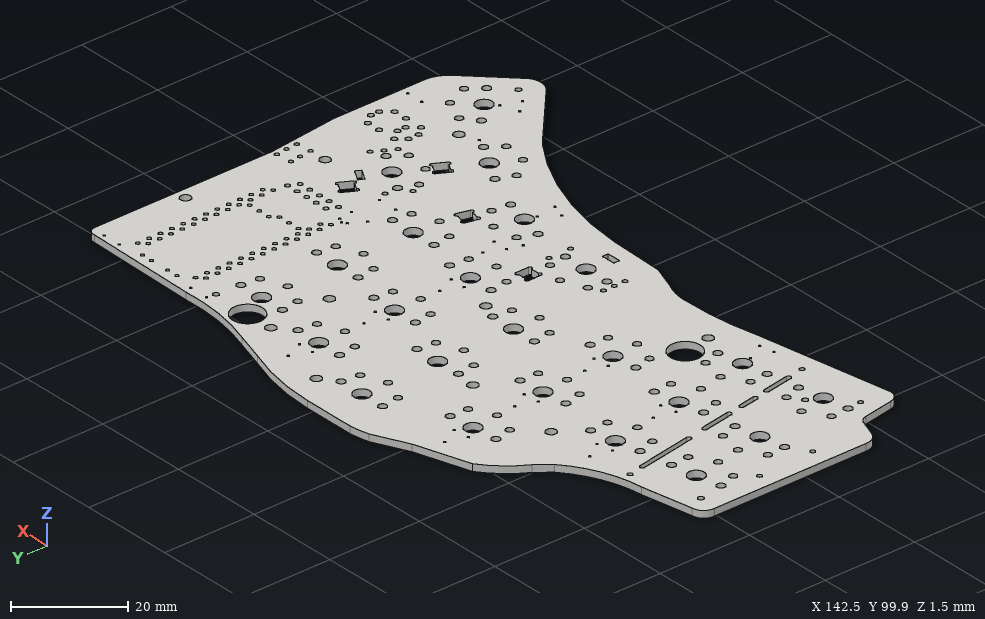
import cadquery as cq
import math

THICKNESS = 1.5
LENGTH = 142.5
WIDTH = 99.9

SWITCH_HOLE = 3.4
PEG_HOLE = 1.7
CONTACT_HOLE = 1.5
SCREW_HOLE = 2.1
LARGE_HOLE = 6.5
JACK_HOLE = 1.2
HEADER_HOLE = 0.81
PIN_HOLE = 1.0
BUTTON_HOLE = 0.9
STAKE_HOLE = 0.7
VIA_HOLE = 0.4

PEG_SPAN = 11.0
CONTACT_SPAN = 10.0
CONTACT_DROP = 3.8
CENTRE_CONTACT_DROP = 5.8
SWITCH_VIAS = [(-1.7, 2.8), (1.7, 2.8), (0.0, 6.8)]

ROW_PITCH = 17.0
ROWS = 3
RING_TILT = 5
PINKY_TILT = 10
OUTER_COLUMN = (10.5, 65.5, PINKY_TILT)
PINKY_COLUMN = (28.4, 68.5, PINKY_TILT)
RING_COLUMN = (47.5, 84.2, RING_TILT)
MIDDLE_COLUMN = (68.4, 91.3, 0)
INDEX_COLUMN = (86.3, 85.8, 0)
INNER_COLUMN = (104.3, 83.4, 0)
HALF_TURN = 180
THUMB_ENCODER_KEY = (75.8, 34.9, 180)
SIDE_ENCODER_KEY = (122.3, 39.0, -30)
THUMB_KEYS = [(95.5, 32.0, 165), (113.8, 24.4, -30), (129.5, 12.3, 135)]

ENCODER_PINS = [(-7.4, 2.4), (-7.4, 0.0), (-7.4, -2.4), (7.0, 2.4), (7.0, -2.4)]
ENCODER_TAB_DROP = 5.5
ENCODER_TAB = (3.0, 1.3)

LED_WINDOWS = [(81.0, 43.5, 0), (102.5, 38.9, -15), (117.8, 31.6, -30), (123.4, 48.0, -30)]
LED_SIZE = (3.4, 2.8)
LED_RELIEF = 0.81

SLOT_WIDTH = 1.0
BREAK_SLOTS = [(19.8, 64.5, 13.4), (22.2, 51.0, 7.5), (23.7, 42.7, 4.5), (25.1, 35.0, 6.8)]
BREAK_ANGLE = 100

HEADER_PINS = 12
HEADER_LENGTH = 27.9
PIN_PITCH = HEADER_LENGTH / (HEADER_PINS - 1)
HEADER_SHIFT = PIN_PITCH / 2
HEADER_TOP = 87.6
HEADER_LEFT = 115.4
HEADER_RIGHT = 130.7
END_PINS = 3

DISPLAY_ROW = (120.1, 55.5)
SPARE_ROW = (119.1, 53.6)
ROW_PINS = 5

SCREW_POINTS = [
    (77.4, 93.9), (95.5, 88.8), (37.8, 75.0), (58.4, 75.0), (96.5, 74.8), (138.4, 71.5),
    (77.4, 56.0), (132.8, 45.0), (44.6, 34.0), (124.5, 22.1),
]
LARGE_POINTS = [(101.6, 88.8), (43.7, 39.9)]
BUTTON_POINTS = [(136.1, 49.9), (136.4, 47.6), (136.6, 45.0), (139.5, 50.2), (139.8, 47.7), (139.9, 45.3)]
JACK_POINTS = [
    (130.5, 31.5), (134.5, 31.5), (137.5, 31.5), (129.0, 29.6), (132.2, 29.4), (139.2, 29.4),
    (130.5, 25.5), (134.5, 25.5), (137.5, 25.5), (129.0, 27.4), (132.2, 27.5), (139.2, 27.5),
]
MEDIUM_POINTS = [(110.1, 88.6), (4.1, 70.0), (18.0, 34.9), (129.5, 4.5)]
SMALL_POINTS = [(18.1, 74.0), (3.4, 57.4), (3.8, 45.2), (26.2, 28.6), (11.3, 28.2)]
STAKE_POINTS = [(119.3, 89.6), (121.7, 89.6), (126.0, 89.6), (128.4, 89.6)]
VIA_POINTS = [
    (110.5, 90.5), (114.5, 90.5), (133.7, 90.3), (137.6, 90.3),
    (114.0, 56.0), (114.8, 56.5), (116.0, 56.0), (112.1, 53.0), (116.4, 53.0), (112.1, 46.7), (116.4, 46.7),
    (91.5, 44.7), (89.8, 40.9), (93.0, 40.9), (88.9, 37.9),
    (36.9, 29.0), (33.8, 28.5), (34.8, 32.9), (92.3, 26.4), (95.3, 25.4), (94.8, 29.8),
    (120.8, 20.7), (137.1, 19.8), (140.8, 19.8), (123.8, 9.1), (126.1, 6.5), (127.5, 10.4),
]


def turned(point, angle):
    """Rotate a point about the origin by an angle in degrees."""
    turn = math.radians(angle)
    x, y = point
    return (x * math.cos(turn) - y * math.sin(turn), x * math.sin(turn) + y * math.cos(turn))


def placed(points, place):
    """Move footprint points to a place given as centre x, centre y and angle."""
    x, y, angle = place
    moved = [turned(point, angle) for point in points]
    return [(x + dx, y + dy) for dx, dy in moved]


def outline():
    """Board edge, clockwise from the lower end of the straight left side."""
    return (
        cq.Workplane("XY")
        .moveTo(0, 36.5)
        .lineTo(0, 70.4)
        .threePointArc((0.7, 72.4), (2.5, 73.2))
        .lineTo(13.5, 75.2)
        .threePointArc((23.1, 77.8), (28.9, 81.6))
        .lineTo(31.3, 84.6)
        .threePointArc((34.2, 88.6), (38.2, 92.2))
        .lineTo(49.9, 95.8)
        .lineTo(57.3, 99.2)
        .threePointArc((59.3, 99.6), (61.4, WIDTH))
        .lineTo(72.7, WIDTH)
        .threePointArc((82.0, 98.9), (89.8, 96.6))
        .lineTo(96.2, 94.6)
        .threePointArc((104.7, 92.5), (114.0, 92.0))
        .lineTo(138.8, 91.5)
        .threePointArc((140.2, 91.0), (140.8, 89.8))
        .lineTo(140.8, 50.2)
        .lineTo(LENGTH, 34.9)
        .lineTo(LENGTH, 14.5)
        .threePointArc((142.0, 12.4), (140.8, 10.3))
        .lineTo(132.0, 1.4)
        .threePointArc((129.0, 0), (126.1, 1.3))
        .lineTo(113.1, 13.1)
        .threePointArc((99.0, 21.0), (79.8, 25.2))
        .lineTo(67.7, 25.6)
        .lineTo(62.1, 27.6)
        .threePointArc((59.1, 28.6), (56.3, 28.8))
        .threePointArc((48.0, 28.4), (39.9, 27.0))
        .lineTo(11.4, 22.1)
        .threePointArc((9.3, 22.4), (8.1, 24.2))
        .lineTo(7.0, 30.6)
        .threePointArc((6.4, 31.8), (5.3, 32.3))
        .lineTo(2.1, 33.5)
        .threePointArc((0.5, 34.6), (0, 36.5))
        .close()
    )


def drill(board, points, diameter):
    """Drill through holes of one diameter at the given points."""
    cutters = cq.Workplane("XY").pushPoints(points).circle(diameter / 2).extrude(THICKNESS)
    return board.cut(cutters)


def placed_switch(step, column, spin=0):
    """Return a one-item list with a switch stepped along its column and spun on the spot."""
    x, y = placed([step], column)[0]
    return [(x, y, column[2] + spin)]


def switch_places():
    """Return centre and angle of the switches without vias, then of those with vias."""
    plain = [THUMB_ENCODER_KEY, SIDE_ENCODER_KEY] + THUMB_KEYS
    wired = []
    for row in range(ROWS):
        step = (0, -row * ROW_PITCH)
        plain += placed_switch(step, MIDDLE_COLUMN) + placed_switch(step, INNER_COLUMN)
        wired += placed_switch(step, INDEX_COLUMN) + placed_switch(step, RING_COLUMN)
        if row < ROWS - 1:
            wired += placed_switch(step, PINKY_COLUMN)
        else:
            plain += placed_switch(step, PINKY_COLUMN, HALF_TURN)
        plain += placed_switch(step, OUTER_COLUMN, 0 if row == 0 else HALF_TURN)
    return plain, wired


def cut_switches(board):
    plain, wired = switch_places()
    pegs = [(-PEG_SPAN / 2, 0), (PEG_SPAN / 2, 0)]
    contacts = [(-CONTACT_SPAN / 2, -CONTACT_DROP), (CONTACT_SPAN / 2, -CONTACT_DROP)]
    contacts.append((0, -CENTRE_CONTACT_DROP))
    footprint = [([(0, 0)], SWITCH_HOLE), (pegs, PEG_HOLE), (contacts, CONTACT_HOLE)]
    for points, diameter in footprint:
        spots = [spot for place in plain + wired for spot in placed(points, place)]
        board = drill(board, spots, diameter)
    vias = [spot for place in wired for spot in placed(SWITCH_VIAS, place)]
    return drill(board, vias, VIA_HOLE)


def cut_encoders(board):
    for x, y, switch_angle in (THUMB_ENCODER_KEY, SIDE_ENCODER_KEY):
        place = (x, y, switch_angle + HALF_TURN)
        board = drill(board, placed(ENCODER_PINS, place), PIN_HOLE)
        tab_x, tab_y = placed([(0, -ENCODER_TAB_DROP)], place)[0]
        tab = cq.Workplane("XY").rect(*ENCODER_TAB).extrude(THICKNESS)
        board = board.cut(tab.rotate((0, 0, 0), (0, 0, 1), place[2]).translate((tab_x, tab_y, 0)))
    return board


def cut_led_windows(board):
    length, height = LED_SIZE
    relief_x = length / 2 - LED_RELIEF / 2
    window = cq.Workplane("XY").rect(length, height).extrude(THICKNESS)
    reliefs = (
        cq.Workplane("XY").rect(2 * relief_x, height, forConstruction=True).vertices()
        .circle(LED_RELIEF / 2).extrude(THICKNESS)
    )
    window = window.union(reliefs)
    for x, y, angle in LED_WINDOWS:
        board = board.cut(window.rotate((0, 0, 0), (0, 0, 1), angle).translate((x, y, 0)))
    return board


def cut_break_slots(board):
    for x, y, length in BREAK_SLOTS:
        slot = cq.Workplane("XY").center(x, y).slot2D(length, SLOT_WIDTH, BREAK_ANGLE).extrude(THICKNESS)
        board = board.cut(slot)
    return board


def header_points():
    """Two staggered columns on each side, with short rows between their lower ends."""
    points = []
    for left in (HEADER_LEFT, HEADER_RIGHT):
        for pin in range(HEADER_PINS):
            y = HEADER_TOP - pin * PIN_PITCH
            points += [(left + HEADER_SHIFT, y), (left, y - HEADER_SHIFT)]
    row_y = HEADER_TOP - (HEADER_PINS - END_PINS) * PIN_PITCH
    for pin in range(1, END_PINS + 1):
        points.append((HEADER_LEFT + pin * PIN_PITCH, row_y - HEADER_SHIFT))
        points.append((HEADER_RIGHT + HEADER_SHIFT - pin * PIN_PITCH, row_y))
    return points


def pin_row(start):
    x, y = start
    return [(x + pin * PIN_PITCH, y) for pin in range(ROW_PINS)]


result = outline().extrude(THICKNESS)
result = cut_switches(result)
result = cut_encoders(result)
result = cut_led_windows(result)
result = cut_break_slots(result)
result = drill(result, SCREW_POINTS, SCREW_HOLE)
result = drill(result, LARGE_POINTS, LARGE_HOLE)
result = drill(result, header_points(), HEADER_HOLE)
result = drill(result, pin_row(DISPLAY_ROW) + pin_row(SPARE_ROW), PIN_HOLE)
result = drill(result, JACK_POINTS + MEDIUM_POINTS, JACK_HOLE)
result = drill(result, SMALL_POINTS, PIN_HOLE)
result = drill(result, BUTTON_POINTS, BUTTON_HOLE)
result = drill(result, STAKE_POINTS, STAKE_HOLE)
result = drill(result, VIA_POINTS, VIA_HOLE)